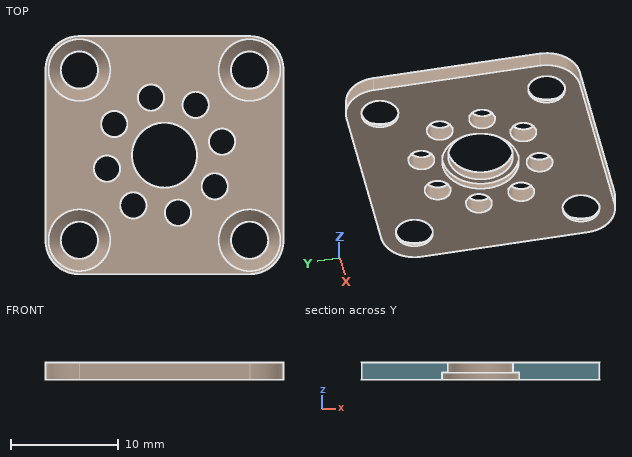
import cadquery as cq

side = 22.23
thickness = 1.62
corner_radius = 3.18

screw_spacing = side - 2 * corner_radius
screw_hole_diameter = 3.45
countersink_diameter = 5.75
countersink_angle = 82.0

bore_diameter = 6.05
recess_diameter = 7.18
recess_depth = 0.67
ring_hole_count = 8
ring_hole_diameter = 2.42
ring_radius = 5.51
ring_start_angle = 13.2


def make_plate():
    """Square plate with rounded corners, standing on Z = 0."""
    return cq.Workplane("XY").rect(side, side).extrude(thickness).edges("|Z").fillet(corner_radius)


def add_screw_holes(plate):
    """Through holes in the four corners, countersunk from the top."""
    return (
        plate.faces(">Z")
        .workplane()
        .rect(screw_spacing, screw_spacing, forConstruction=True)
        .vertices()
        .cskHole(screw_hole_diameter, countersink_diameter, countersink_angle)
    )


def add_center_bore(plate):
    """Through bore in the middle of the plate, widened by a round recess from the bottom."""
    recess = cq.Workplane("XY").circle(recess_diameter / 2).extrude(recess_depth)
    return plate.faces(">Z").workplane(origin=(0, 0, 0)).hole(bore_diameter).cut(recess)


def add_hole_ring(plate):
    """Evenly spaced through holes around the bore."""
    return (
        plate.faces(">Z")
        .workplane(origin=(0, 0, 0))
        .polarArray(ring_radius, ring_start_angle, 360, ring_hole_count)
        .hole(ring_hole_diameter)
    )


result = add_hole_ring(add_center_bore(add_screw_holes(make_plate())))